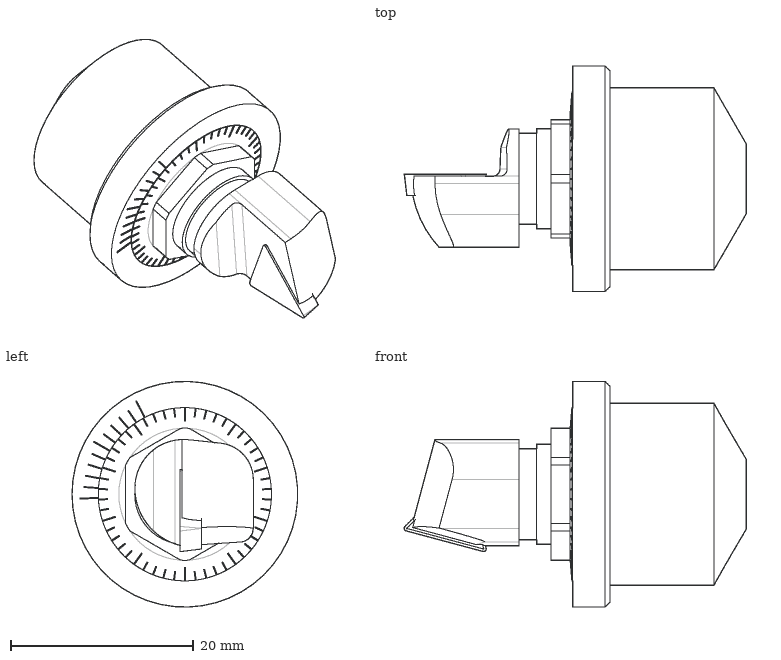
import cadquery as cq
import math

TOTAL_LENGTH = 37.52

HOUSING_LENGTH = 19.05
FLANGE_DIAMETER = 24.75
FLANGE_THICKNESS = 4.13
FLANGE_CHAMFER = 0.55
BARREL_DIAMETER = 20.0
TAPER_LENGTH = 3.55
TAPER_ANGLE = 60.0
TAPER_END_DIAMETER = BARREL_DIAMETER - 2 * TAPER_LENGTH * math.tan(math.radians(TAPER_ANGLE))

DIAL_DIAMETER = 19.0
DIAL_FRONT_DIAMETER = 14.5
DIAL_RIM = 0.08
DIAL_HEIGHT = 0.25
HEX_ACROSS_FLATS = 13.0
HEX_SIDES = 6
HEX_FRONT = 2.35
COLLAR_DIAMETER = 11.0
COLLAR_FRONT = 3.95
NECK_DIAMETER = 10.0
NECK_FRONT = 5.85

TICK_WIDTH = 0.1
TICK_DEPTH = 0.08
TICK_TOOL_OVERSHOOT = 0.38
DIAL_DIVISIONS = 50
DIAL_LONG_EVERY = 5
DIAL_TICK_LENGTH = 0.98
DIAL_LONG_TICK_LENGTH = 1.45
VERNIER_DIVISIONS = 10
VERNIER_LONG_EVERY = 5
VERNIER_TICK_LENGTH = 1.58
VERNIER_LONG_TICK_LENGTH = 2.03
VERNIER_CENTRE_ANGLE = 30.0
VERNIER_PITCH = (VERNIER_DIVISIONS - 1) / VERNIER_DIVISIONS * 360 / DIAL_DIVISIONS

HEAD_FLAT_Y = 0.3
HEAD_SIDE_Y = -7.5
HEAD_TOP_Z = 6.0
HEAD_BOTTOM_Z = -5.65
SHOULDER_Y = -0.53
SHOULDER_Z = 5.95
UPPER_CORNER_Z = 5.2
LOWER_CORNER_Z = -5.15
UPPER_CORNER_RADIUS = 4.0
LOWER_CORNER_RADIUS = 1.5
BACK_Y = 5.48
BACK_Z = 0.7
BACK_UPPER_POINT = (3.95, 4.43)
BACK_LOWER_POINT = (3.45, -4.0)

NOSE_X = -16.7
NOSE_RADIUS = 11.0
STEP_X = -7.58
STEP_TILT = 4.0
STEP_FILLET = 0.8
STEP_BEVEL_Y = 3.45
STEP_BEVEL_ANGLE = 15.0
CUT_REACH = 15.0

INSERT_TILT = 15.0
INSERT_CORNERS = 3
INSERT_CIRCUMRADIUS = 5.63
INSERT_CORNER_RADIUS = 0.3
INSERT_THICKNESS = 2.35
INSERT_RELIEF = 7.0
INSERT_FACE_Y = 0.53
INSERT_CENTRE_Z = -2.45
UNDERSIDE_CLEARANCE = 0.25

tilt_cos = math.cos(math.radians(INSERT_TILT))
tilt_sin = math.sin(math.radians(INSERT_TILT))
insert_tip_x = HOUSING_LENGTH - TOTAL_LENGTH
corner_centre_radius = INSERT_CIRCUMRADIUS - 2 * INSERT_CORNER_RADIUS
insert_centre_x = insert_tip_x + corner_centre_radius * tilt_cos + INSERT_CORNER_RADIUS


def cylinder(diameter, front, back):
    """Cylinder on the X axis from x = front to x = back."""
    return cq.Workplane("YZ").workplane(offset=front).circle(diameter / 2).extrude(back - front)


def radial_tick(inner_radius, outer_radius, inner_x, outer_x, angle):
    """Engraving tool of a radial tick; angle runs from +Y towards +Z."""
    tick = (
        cq.Workplane("XY")
        .polyline([
            (inner_x - TICK_TOOL_OVERSHOOT, inner_radius),
            (inner_x + TICK_DEPTH, inner_radius),
            (outer_x + TICK_DEPTH, outer_radius),
            (outer_x - TICK_TOOL_OVERSHOOT, outer_radius),
        ])
        .close()
        .extrude(TICK_WIDTH / 2, both=True)
    )
    return tick.rotate((0, 0, 0), (1, 0, 0), angle)


def tilted_prism_plane(x, angle):
    """Plane across an upright direction leaning to +X by angle; local y is world Y."""
    lean = math.radians(angle)
    return cq.Plane(
        origin=(x, 0, 0),
        xDir=(math.cos(lean), 0, -math.sin(lean)),
        normal=(math.sin(lean), 0, math.cos(lean)),
    )


def make_housing():
    flange = cylinder(FLANGE_DIAMETER, 0, FLANGE_THICKNESS).faces(">X").edges().chamfer(FLANGE_CHAMFER)
    taper_start = HOUSING_LENGTH - TAPER_LENGTH
    barrel = cylinder(BARREL_DIAMETER, 0, taper_start)
    taper = (
        barrel.faces(">X").workplane()
        .circle(BARREL_DIAMETER / 2)
        .workplane(offset=TAPER_LENGTH)
        .circle(TAPER_END_DIAMETER / 2)
        .loft(combine=False)
    )
    housing = flange.union(barrel).union(taper)
    start_radius = DIAL_DIAMETER / 2
    for index in range(VERNIER_DIVISIONS + 1):
        is_long = index % VERNIER_LONG_EVERY == 0
        length = VERNIER_LONG_TICK_LENGTH if is_long else VERNIER_TICK_LENGTH
        angle = VERNIER_CENTRE_ANGLE + (index - VERNIER_DIVISIONS / 2) * VERNIER_PITCH
        housing = housing.cut(radial_tick(start_radius, start_radius + length, 0, 0, angle))
    return housing


def make_dial():
    rim_radius = DIAL_DIAMETER / 2
    front_radius = DIAL_FRONT_DIAMETER / 2
    dial = (
        cq.Workplane("XY")
        .polyline([
            (0, 0),
            (0, rim_radius),
            (-DIAL_RIM, rim_radius),
            (-DIAL_HEIGHT, front_radius),
            (-DIAL_HEIGHT, 0),
        ])
        .close()
        .revolve(360, (0, 0, 0), (1, 0, 0))
    )
    slope = (DIAL_HEIGHT - DIAL_RIM) / (rim_radius - front_radius)
    for index in range(DIAL_DIVISIONS):
        length = DIAL_LONG_TICK_LENGTH if index % DIAL_LONG_EVERY == 0 else DIAL_TICK_LENGTH
        inner_x = -DIAL_RIM - slope * length
        angle = 90 + index * 360 / DIAL_DIVISIONS
        dial = dial.cut(radial_tick(rim_radius - length, rim_radius, inner_x, -DIAL_RIM, angle))
    return dial


def make_hexagon():
    corner_diameter = HEX_ACROSS_FLATS / math.cos(math.pi / HEX_SIDES)
    hexagon = (
        cq.Workplane("YZ").workplane(offset=-HEX_FRONT)
        .transformed(rotate=(0, 0, 90))
        .polygon(HEX_SIDES, corner_diameter)
        .extrude(HEX_FRONT - DIAL_HEIGHT)
    )
    return hexagon.intersect(cylinder(DIAL_FRONT_DIAMETER, -HEX_FRONT, -DIAL_HEIGHT))


def make_head_blank():
    """Head section extruded along X, with its two -Y corners rounded."""
    blank = (
        cq.Workplane("YZ").workplane(offset=insert_tip_x)
        .moveTo(HEAD_FLAT_Y, HEAD_TOP_Z)
        .lineTo(SHOULDER_Y, SHOULDER_Z)
        .lineTo(HEAD_SIDE_Y, UPPER_CORNER_Z)
        .lineTo(HEAD_SIDE_Y, LOWER_CORNER_Z)
        .lineTo(HEAD_FLAT_Y, HEAD_BOTTOM_Z)
        .threePointArc(BACK_LOWER_POINT, (BACK_Y, BACK_Z))
        .threePointArc(BACK_UPPER_POINT, (HEAD_FLAT_Y, HEAD_TOP_Z))
        .close()
        .extrude(-NECK_FRONT - insert_tip_x)
    )
    blank = blank.faces("<Y").edges("|X").edges(">Z").fillet(UPPER_CORNER_RADIUS)
    return blank.faces("<Y").edges("|X").edges("<Z").fillet(LOWER_CORNER_RADIUS)


def make_nose_cutter():
    """Everything in front of the leaning cylindrical nose surface."""
    plane = tilted_prism_plane(NOSE_X, INSERT_TILT)
    block = cq.Workplane(plane).rect(2 * NOSE_RADIUS, 2 * NOSE_RADIUS).extrude(CUT_REACH, both=True)
    keep = cq.Workplane(plane).center(NOSE_RADIUS, 0).circle(NOSE_RADIUS).extrude(CUT_REACH, both=True)
    return block.cut(keep)


def make_step_cutter():
    """Clears the +Y half of the head down to the flat that carries the insert."""
    bevel_run = (CUT_REACH - STEP_BEVEL_Y) * math.tan(math.radians(STEP_BEVEL_ANGLE))
    return (
        cq.Workplane(tilted_prism_plane(STEP_X, STEP_TILT))
        .moveTo(-CUT_REACH, HEAD_FLAT_Y)
        .lineTo(-STEP_FILLET, HEAD_FLAT_Y)
        .tangentArcPoint((0, HEAD_FLAT_Y + STEP_FILLET), relative=False)
        .lineTo(0, STEP_BEVEL_Y)
        .lineTo(bevel_run, CUT_REACH)
        .lineTo(-CUT_REACH, CUT_REACH)
        .close()
        .extrude(CUT_REACH, both=True)
    )


def make_underside_cutter():
    """Clears the head below the insert, parallel to the relieved lower flank."""
    edge_distance = INSERT_CIRCUMRADIUS / 2 - UNDERSIDE_CLEARANCE
    plane = cq.Plane(
        origin=(insert_centre_x, INSERT_FACE_Y, INSERT_CENTRE_Z),
        xDir=(0, -1, 0),
        normal=(-tilt_cos, 0, tilt_sin),
    )
    rise = CUT_REACH * math.tan(math.radians(INSERT_RELIEF))
    return (
        cq.Workplane(plane)
        .polyline([
            (0, -edge_distance),
            (CUT_REACH, rise - edge_distance),
            (CUT_REACH, -CUT_REACH),
            (0, -CUT_REACH),
        ])
        .close()
        .extrude(CUT_REACH, both=True)
    )


def make_insert():
    """Insert with its larger face towards +Y and flanks relieved towards -Y."""
    corners = []
    for index in range(INSERT_CORNERS):
        angle = math.radians(180 + INSERT_TILT + index * 360 / INSERT_CORNERS)
        corners.append((
            insert_centre_x + INSERT_CIRCUMRADIUS * math.cos(angle),
            INSERT_CENTRE_Z + INSERT_CIRCUMRADIUS * math.sin(angle),
        ))
    blank = cq.Workplane("XZ").polyline(corners).close().extrude(INSERT_THICKNESS)
    face_outline = blank.edges("|Y").fillet(INSERT_CORNER_RADIUS).faces(">Y").wires().val()
    return (
        cq.Workplane("XZ", origin=(0, INSERT_FACE_Y, 0))
        .add(face_outline.translate(cq.Vector(0, INSERT_FACE_Y, 0)))
        .toPending()
        .extrude(INSERT_THICKNESS, taper=INSERT_RELIEF)
    )


def make_cartridge(insert):
    """Dial, hexagon, collar, neck and head in one piece, with the insert pocket."""
    head = (
        make_head_blank()
        .cut(make_nose_cutter())
        .cut(make_step_cutter())
        .cut(make_underside_cutter())
    )
    return (
        make_dial()
        .union(make_hexagon())
        .union(cylinder(COLLAR_DIAMETER, -COLLAR_FRONT, -HEX_FRONT))
        .union(cylinder(NECK_DIAMETER, -NECK_FRONT, -COLLAR_FRONT))
        .union(head)
        .cut(insert)
    )


housing = make_housing()
cutting_insert = make_insert()
cartridge = make_cartridge(cutting_insert)

result = cq.Compound.makeCompound([
    housing.solids().val(),
    cartridge.solids().val(),
    cutting_insert.solids().val(),
])